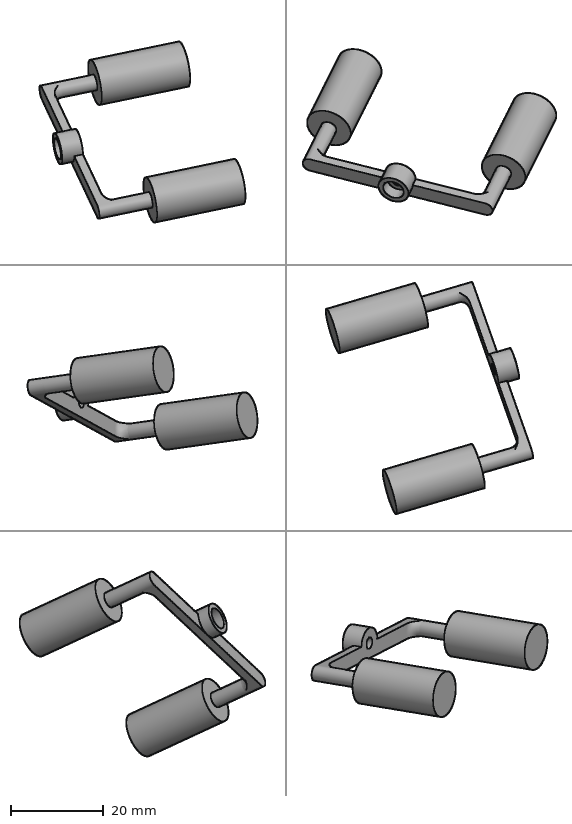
import cadquery as cq

weight_spacing = 40.0
weight_radius = 5.0
weight_length = 20.0

arm_radius = 1.75
arm_length = 12.0
bar_thickness = 2.0
corner_radius = 2.0

hub_radius = 3.45
hub_length = 4.7
hub_center_z = hub_radius - arm_radius
bore_diameter = 2.5
counterbore_diameter = 4.7
counterbore_depth = 2.7

arm_x = weight_spacing / 2


def cylinder_along_y(x, z, radius, start_y, length):
    plane = cq.Plane(origin=(x, start_y, z), xDir=(1, 0, 0), normal=(0, 1, 0))
    return cq.Workplane(plane).circle(radius).extrude(length)


def rounded_bar(start_y, length):
    plane = cq.Plane(origin=(0, start_y, 0), xDir=(1, 0, 0), normal=(0, 1, 0))
    overall_width = weight_spacing + 2 * arm_radius
    return cq.Workplane(plane).slot2D(overall_width, 2 * arm_radius).extrude(length)


def inner_corners():
    """Flared collars around both arms, trimmed to the height and ends of the crossbar."""
    flare_end_y = bar_thickness + corner_radius
    collar = (
        cq.Workplane("XY")
        .moveTo(0, bar_thickness)
        .lineTo(arm_radius + corner_radius, bar_thickness)
        .radiusArc((arm_radius, flare_end_y), corner_radius)
        .lineTo(0, flare_end_y)
        .close()
        .revolve(360, (0, 0, 0), (0, 1, 0))
    )
    collars = collar.translate((-arm_x, 0, 0)).union(collar.translate((arm_x, 0, 0)))
    return collars.intersect(rounded_bar(bar_thickness, corner_radius))


result = rounded_bar(0, bar_thickness).union(inner_corners())
for side in (-1, 1):
    x = side * arm_x
    result = result.union(cylinder_along_y(x, 0, arm_radius, 0, arm_length))
    result = result.union(cylinder_along_y(x, 0, weight_radius, arm_length, weight_length))

hub_front_y = bar_thickness - hub_length
result = result.union(cylinder_along_y(0, hub_center_z, hub_radius, hub_front_y, hub_length))
result = result.cut(cylinder_along_y(0, hub_center_z, bore_diameter / 2, hub_front_y, hub_length))
result = result.cut(
    cylinder_along_y(0, hub_center_z, counterbore_diameter / 2, hub_front_y, counterbore_depth)
)